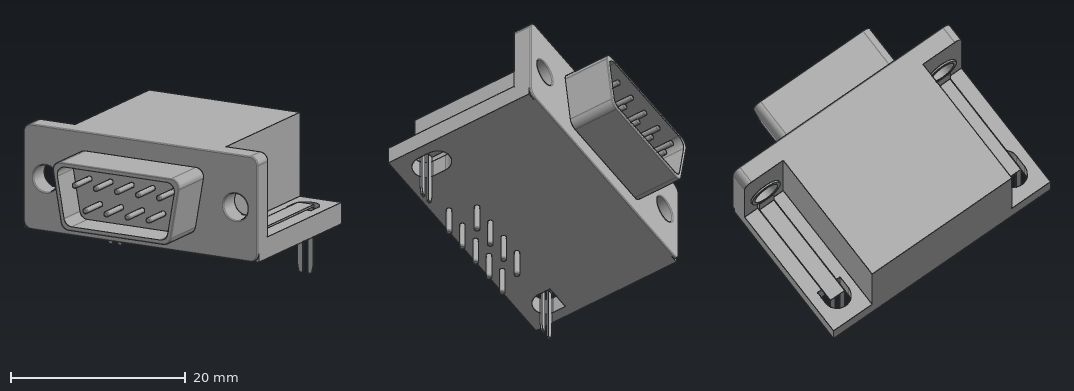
import cadquery as cq
import math

WIDTH = 30.8
BODY_HEIGHT = 12.5
BODY_BACK_Y = 19.55
CORNER_RADIUS = 1.0
CENTRE_Z = BODY_HEIGHT / 2

FLANGE_REAR_Y = 2.35
BLOCK_WIDTH = 19.85
LEDGE_HEIGHT = 2.55

PLATE_THICKNESS = 0.3
PLATE_EDGE_FILLET = 0.12

HOLE_X = 12.5
HOLE_DIAMETER = 3.2
CLIP_DISC_DIAMETER = 4.0
CLIP_THICKNESS = 0.25
CLIP_STEP = 0.12
CLIP_REAR_Y = FLANGE_REAR_Y + CLIP_THICKNESS + CLIP_STEP
STRAP_WIDTH = 2.05
STRAP_TOP_Z = 4.65
STRAP_END_Y = BODY_BACK_Y - 3.15
LEG_WIDTH = 0.68
LEG_BOTTOM_Z = -5.4
LEG_TIP_HEIGHT = 1.0
LEG_TIP_INSET = 0.22

SLOT_WIDTH = 3.2
SLOT_BACK_Y = BODY_BACK_Y - 3.25
SLOT_FRONT_Y = BODY_BACK_Y - 4.87

SHROUD_LENGTH = 5.73
SHROUD_TOP_Z = 10.25
SHROUD_BOTTOM_Z = 2.3
SHROUD_TOP_WIDTH = 16.57
SHROUD_SIDE_ANGLE = 10.0
SHROUD_CORNER_RADIUS = 1.02
SHROUD_WALL = 0.5
SHROUD_EDGE_FILLET = 0.1
CAVITY_DEPTH = 3.7

PIN_DIAMETER = 0.65
PIN_TIP_FILLET = 0.12
PIN_PITCH = 1.4
CONTACT_ROW_GAP = 2.83
CONTACT_TIP_RECESS = 0.15
BOARD_PIN_LENGTH = 3.85
BOARD_ROW_BACK_Y = BODY_BACK_Y - 1.85
BOARD_ROW_FRONT_Y = BODY_BACK_Y - 4.77
UPPER_ROW_COUNT = 5
LOWER_ROW_COUNT = 4


def box(x_min, x_max, y_min, y_max, z_min, z_max):
    size = (x_max - x_min, y_max - y_min, z_max - z_min)
    return cq.Workplane().box(*size, centered=False).translate((x_min, y_min, z_min))


def y_cylinder(diameter, x, z, y_min, y_max):
    plane = cq.Workplane("XZ", origin=(x, y_max, z))
    return plane.circle(diameter / 2).extrude(y_max - y_min)


def make_housing():
    half = WIDTH / 2
    flange = box(-half, half, PLATE_THICKNESS, FLANGE_REAR_Y, 0, BODY_HEIGHT)
    flange = flange.edges("|Y and >Z").fillet(CORNER_RADIUS)
    ledge = box(-half, half, FLANGE_REAR_Y, BODY_BACK_Y, 0, LEDGE_HEIGHT)
    block = box(-BLOCK_WIDTH / 2, BLOCK_WIDTH / 2, FLANGE_REAR_Y, BODY_BACK_Y, 0, BODY_HEIGHT)
    return flange.union(ledge).union(block)


def make_plate():
    """Face plate with mounting holes; its outline and hole rims are rounded at the front."""
    plate = box(-WIDTH / 2, WIDTH / 2, 0, PLATE_THICKNESS, 0, BODY_HEIGHT)
    plate = plate.edges("|Y").fillet(CORNER_RADIUS)
    for x in (-HOLE_X, HOLE_X):
        plate = plate.cut(y_cylinder(HOLE_DIAMETER, x, CENTRE_Z, 0, PLATE_THICKNESS))
    return plate.faces("<Y").edges().fillet(PLATE_EDGE_FILLET)


def d_prism(inset, y_min, y_max):
    """D-shaped prism, inset evenly from the outer face of the shroud."""
    angle = math.radians(SHROUD_SIDE_ANGLE)
    top = SHROUD_TOP_Z - inset
    bottom = SHROUD_BOTTOM_Z + inset
    corner_overhang = SHROUD_CORNER_RADIUS * ((1 + math.sin(angle)) / math.cos(angle) - 1)
    top_half = SHROUD_TOP_WIDTH / 2 + corner_overhang - inset / math.cos(angle) - inset * math.tan(angle)
    bottom_half = top_half - (top - bottom) * math.tan(angle)
    outline = [(-top_half, top), (top_half, top), (bottom_half, bottom), (-bottom_half, bottom)]
    profile = cq.Workplane("XZ", origin=(0, y_max, 0)).polyline(outline).close()
    prism = profile.extrude(y_max - y_min)
    return prism.edges("|Y").fillet(SHROUD_CORNER_RADIUS)


def make_shroud():
    shroud = d_prism(0, -SHROUD_LENGTH, PLATE_THICKNESS)
    shroud = shroud.faces("<Y").edges().fillet(SHROUD_EDGE_FILLET)
    return shroud.cut(d_prism(SHROUD_WALL, -SHROUD_LENGTH, CAVITY_DEPTH - SHROUD_LENGTH))


def row_positions(count):
    """X positions of one contact row; the two rows interleave at PIN_PITCH."""
    return [(2 * i - (count - 1)) * PIN_PITCH for i in range(count)]


def make_pin_pair(x, contact_z, board_y):
    """One front contact and the board pin that belongs to it."""
    tip_y = CONTACT_TIP_RECESS - SHROUD_LENGTH
    contact = y_cylinder(PIN_DIAMETER, x, contact_z, tip_y, 0)
    contact = contact.faces("<Y").edges().fillet(PIN_TIP_FILLET)
    board_pin = cq.Workplane("XY", origin=(x, board_y, -BOARD_PIN_LENGTH))
    board_pin = board_pin.circle(PIN_DIAMETER / 2).extrude(BOARD_PIN_LENGTH + LEDGE_HEIGHT)
    board_pin = board_pin.faces("<Z").edges().fillet(PIN_TIP_FILLET)
    return contact.union(board_pin)


def make_leg(x, side):
    """One clip leg, tapered at the tip on its outer side (side is -1 or 1)."""
    outer = STRAP_WIDTH / 2
    inner = outer - LEG_WIDTH
    taper_z = LEG_BOTTOM_Z + LEG_TIP_HEIGHT
    outline = [
        (inner, LEDGE_HEIGHT),
        (outer, LEDGE_HEIGHT),
        (outer, taper_z),
        (outer - LEG_TIP_INSET, LEG_BOTTOM_Z),
        (inner, LEG_BOTTOM_Z),
    ]
    points = [(x + side * offset, z) for offset, z in outline]
    profile = cq.Workplane("XZ", origin=(0, STRAP_END_Y, 0)).polyline(points).close()
    return profile.extrude(CLIP_THICKNESS)


def make_clip(x):
    half = STRAP_WIDTH / 2
    strap_top = LEDGE_HEIGHT + CLIP_THICKNESS
    disc = y_cylinder(CLIP_DISC_DIAMETER, x, CENTRE_Z, FLANGE_REAR_Y, FLANGE_REAR_Y + CLIP_THICKNESS)
    riser = box(x - half, x + half, FLANGE_REAR_Y, CLIP_REAR_Y, LEDGE_HEIGHT, STRAP_TOP_Z)
    strap = box(x - half, x + half, FLANGE_REAR_Y, STRAP_END_Y, LEDGE_HEIGHT, strap_top)
    clip = disc.union(riser).union(strap)
    for side in (-1, 1):
        clip = clip.union(make_leg(x, side))
    return clip


def make_slot(x, round_front):
    """Ledge slot cutter with a round back end and a round or square front end."""
    half = SLOT_WIDTH / 2
    slot = box(x - half, x + half, SLOT_FRONT_Y, SLOT_BACK_Y, 0, LEDGE_HEIGHT)
    round_ends = [SLOT_BACK_Y, SLOT_FRONT_Y] if round_front else [SLOT_BACK_Y]
    for y in round_ends:
        slot = slot.union(cq.Workplane("XY", origin=(x, y, 0)).circle(half).extrude(LEDGE_HEIGHT))
    return slot


result = make_housing().union(make_plate()).union(make_shroud())
result = result.cut(make_slot(-HOLE_X, round_front=True))
result = result.cut(make_slot(HOLE_X, round_front=False))

for clip_x in (-HOLE_X, HOLE_X):
    result = result.union(make_clip(clip_x))
    result = result.cut(y_cylinder(HOLE_DIAMETER, clip_x, CENTRE_Z, PLATE_THICKNESS, CLIP_REAR_Y))

for pin_x in row_positions(UPPER_ROW_COUNT):
    result = result.union(make_pin_pair(pin_x, CENTRE_Z + CONTACT_ROW_GAP / 2, BOARD_ROW_BACK_Y))
for pin_x in row_positions(LOWER_ROW_COUNT):
    result = result.union(make_pin_pair(pin_x, CENTRE_Z - CONTACT_ROW_GAP / 2, BOARD_ROW_FRONT_Y))